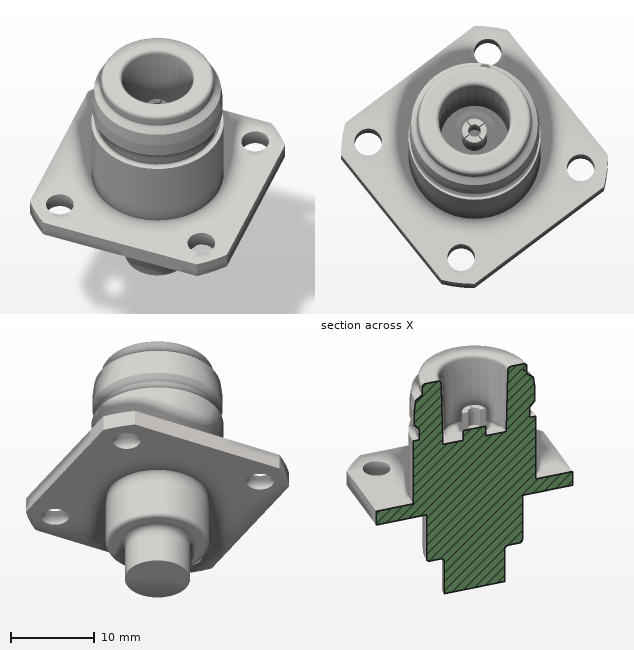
import cadquery as cq
import math

flange_side = 25.4
flange_bottom = 11.67
flange_top = 13.67
flat_edge_half = 9.88
hole_radius = 1.67
hole_offset = 9.12

neck_radius = 3.95
barrel_radius = 6.25
barrel_bottom = 5.03
small_round = 0.48

body_radius = 7.97
body_top = 22.55
groove_radius = 7.18
groove_top = 24.0
collar_radius = 7.85
collar_bottom = 24.75
taper_bottom = 26.5
taper_radius = 7.65
taper_top = 28.12
rim_radius = 6.8
rim_bottom = 28.82
total_height = 30.3

socket_mouth_radius = 4.3
socket_floor_radius = 4.1
socket_depth = 9.1

contact_radius = 1.5
contact_tip_depth = 5.3
contact_chamfer = 0.1
contact_bore_radius = 0.75
contact_bore_depth = 2.42
slot_width = 0.12


def make_turned_body():
    """Revolve the half profile, with the socket and all rounded edges."""
    round_mid = small_round * (1 - math.sqrt(0.5))
    socket_floor = total_height - socket_depth
    mouth_round_end = socket_mouth_radius + small_round
    round_bottom = total_height - small_round
    profile = (
        cq.Workplane("XZ")
        .lineTo(neck_radius, 0)
        .lineTo(neck_radius, barrel_bottom - small_round)
        .threePointArc(
            (neck_radius + round_mid, barrel_bottom - round_mid),
            (neck_radius + small_round, barrel_bottom),
        )
        .lineTo(barrel_radius - small_round, barrel_bottom)
        .threePointArc(
            (barrel_radius - round_mid, barrel_bottom + round_mid),
            (barrel_radius, barrel_bottom + small_round),
        )
        .lineTo(barrel_radius, flange_bottom)
        .lineTo(body_radius, flange_bottom)
        .lineTo(body_radius, body_top)
        .lineTo(groove_radius, body_top)
        .lineTo(groove_radius, groove_top)
        .lineTo(collar_radius, collar_bottom)
        .lineTo(collar_radius, taper_bottom)
        .lineTo(taper_radius, taper_top)
        .lineTo(rim_radius, rim_bottom)
        .lineTo(rim_radius, round_bottom)
        .threePointArc(
            (rim_radius - round_mid, total_height - round_mid),
            (rim_radius - small_round, total_height),
        )
        .lineTo(mouth_round_end, total_height)
        .threePointArc(
            (socket_mouth_radius + round_mid, total_height - round_mid),
            (socket_mouth_radius, round_bottom),
        )
        .lineTo(socket_floor_radius, socket_floor)
        .lineTo(0, socket_floor)
        .close()
    )
    return profile.revolve(360, (0, 0), (0, 1))


def make_flange():
    """Square plate whose corners are trimmed by a circle about the axis."""
    thickness = flange_top - flange_bottom
    corner_radius = math.hypot(flange_side / 2, flat_edge_half)
    base = cq.Workplane("XY").workplane(offset=flange_bottom)
    plate = base.rect(flange_side, flange_side).extrude(thickness)
    plate = plate.intersect(base.circle(corner_radius).extrude(thickness))
    holes = (
        base.rect(2 * hole_offset, 2 * hole_offset, forConstruction=True)
        .vertices()
        .circle(hole_radius)
        .extrude(thickness)
    )
    return plate.cut(holes)


def make_contact():
    """Hollow pin split into four fingers by two crossed slots."""
    floor = total_height - socket_depth
    tip = total_height - contact_tip_depth
    pin = (
        cq.Workplane("XY")
        .workplane(offset=floor)
        .circle(contact_radius)
        .extrude(tip - floor)
        .faces(">Z")
        .chamfer(contact_chamfer)
    )
    bore_base = cq.Workplane("XY").workplane(offset=tip - contact_bore_depth)
    pin = pin.cut(bore_base.circle(contact_bore_radius).extrude(contact_bore_depth))
    slot_length = 2 * contact_radius
    for slot_size in ((slot_length, slot_width), (slot_width, slot_length)):
        pin = pin.cut(bore_base.rect(*slot_size).extrude(contact_bore_depth))
    return pin


result = make_turned_body().union(make_flange()).union(make_contact())